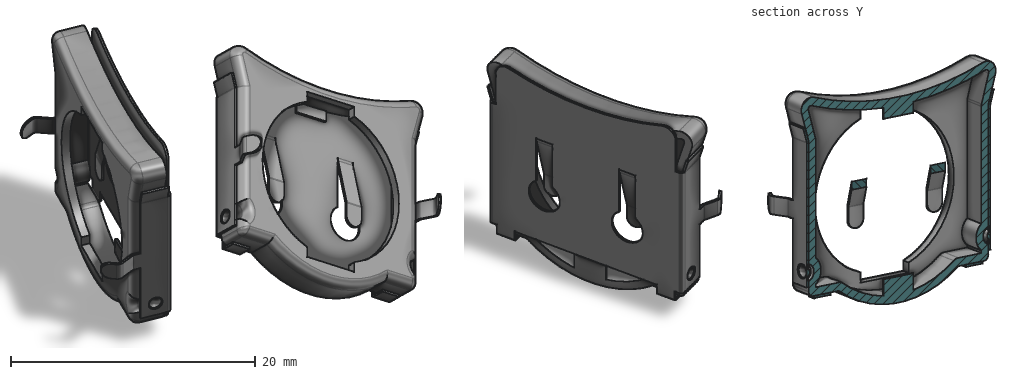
import cadquery as cq
import math

housing_depth = 2.83
wall = 0.75
side_x = 9.1
flare_start_z = 6.23
apex_x, apex_z = 10.35, 10.67
top_dip_z = 8.5
foot_z = -7.07
belly_x, belly_z = 6.03, -9.14
top_corner_radius = 1.0
foot_corner_radius = 0.5
window_radius = 7.0
window_notch_width = 4.85
window_notch_height = 14.91
lip_width = 3.03
lip_height = 13.68
lip_thickness = 0.22

sheet = 0.2
clip_back_y = 3.48
plate_front_y = clip_back_y - sheet
clip_x = side_x + sheet
clip_bottom_z = -6.21
inner_bend = 0.14
back_top_x = 8.62
back_apex_z = 10.87
back_dip_z = 9.34

finger_x = 3.98
finger_width = 1.51
finger_slot_width = 1.6
finger_slot_top_z = 4.26
finger_root_z = 4.12
finger_knee_z = -0.18
finger_tip_z = -2.15
finger_back_y = 2.29
finger_bend = 0.1
finger_root_bend = 1.0
finger_hole_radius = 1.5
finger_hole_z = -1.43

leg_width = 1.55
leg_root_y = 0.1
leg_knee_x, leg_knee_y = 10.03, -1.31
leg_tip_x, leg_tip_y = 9.28, -2.73
leg_bend = 0.4
leg_root_bend = 0.04

ear_tip_z = 7.45
ear_back_y = clip_back_y - sheet - inner_bend

hook_x = 7.69
hook_width = 1.7
hook_end_y = 2.0
hook_bend = 0.04

dimple_y, dimple_z = 2.07, -4.95
dimple_radius = 0.54
dimple_lip = 0.08
dimple_outer_radius = dimple_radius + sheet


def front_plane(y):
    """Plane across the part at the given depth; a negative extrusion runs towards the back, +Y."""
    return cq.Workplane("XZ", origin=(0, y, 0))


def box(x_range, y_range, z_range):
    size = [high - low for low, high in (x_range, y_range, z_range)]
    corner = (x_range[0], y_range[0], z_range[0])
    return cq.Workplane().box(*size, centered=False).translate(corner)


def strip(plane, points, width, bends):
    """Bent sheet strip: points run along its outer face, the sheet lies to the left of that path.

    Each bend is the inner radius at one inner point of the path.
    """
    normals = []
    for (x0, y0), (x1, y1) in zip(points, points[1:]):
        length = math.hypot(x1 - x0, y1 - y0)
        normals.append((-(y1 - y0) / length, (x1 - x0) / length))
    inner = []
    for i, (x, y) in enumerate(points):
        ax, ay = normals[max(i - 1, 0)]
        bx, by = normals[min(i, len(normals) - 1)]
        reach = sheet / (1 + ax * bx + ay * by)
        inner.append((x + reach * (ax + bx), y + reach * (ay + by)))
    body = plane.polyline(points + inner[::-1]).close().extrude(width / 2, both=True)
    for i, bend in enumerate(bends, start=1):
        turn = normals[i - 1][0] * normals[i][1] - normals[i - 1][1] * normals[i][0]
        radii = (bend + sheet, bend) if turn > 0 else (bend, bend + sheet)
        for corner, radius in zip((points[i], inner[i]), radii):
            middle = plane.plane.toWorldCoords(corner)
            body = body.edges(cq.NearestToPointSelector(middle.toTuple())).fillet(radius)
    return body


def housing_block():
    outline = (
        front_plane(0)
        .moveTo(-side_x, foot_z)
        .lineTo(-side_x, flare_start_z)
        .lineTo(-apex_x, apex_z)
        .threePointArc((0, top_dip_z), (apex_x, apex_z))
        .lineTo(side_x, flare_start_z)
        .lineTo(side_x, foot_z)
        .lineTo(belly_x, foot_z)
        .threePointArc((0, belly_z), (-belly_x, foot_z))
        .close()
        .extrude(-housing_depth)
    )
    for side in (-1, 1):
        for x, z, radius in ((apex_x, apex_z, top_corner_radius), (side_x, foot_z, foot_corner_radius)):
            corner = (side * x, housing_depth / 2, z)
            outline = outline.edges(cq.NearestToPointSelector(corner)).fillet(radius)
    dimple_grooves = (
        front_plane(0)
        .pushPoints([(-clip_x, dimple_z), (clip_x, dimple_z)])
        .circle(dimple_outer_radius)
        .extrude(-housing_depth)
    )
    return outline.cut(dimple_grooves)


def make_housing():
    block = housing_block()
    cavity = (
        block.faces(">Y").wires().toPending().workplane(origin=(0, housing_depth, 0))
        .offset2D(-wall)
        .extrude(wall - housing_depth, combine=False)
    )
    window = front_plane(0).circle(window_radius).extrude(-wall)
    window = window.union(front_plane(0).rect(window_notch_width, window_notch_height).extrude(-wall))
    lip_x = lip_width / 2
    lip_y = (housing_depth - lip_thickness, housing_depth)
    for lip_z in ((belly_z, -lip_height / 2), (lip_height / 2, apex_z)):
        cavity = cavity.cut(box((-lip_x, lip_x), lip_y, lip_z))
    return block.faces("<Y").edges().fillet(wall).cut(cavity).cut(window)


def back_and_flanges():
    """Channel of the lower back plate and both side flanges, plus the taller middle of the back plate."""
    height = flare_start_z - clip_bottom_z
    plane = cq.Workplane("XY", origin=(0, 0, clip_bottom_z + height / 2))
    profile = [(clip_x, wall), (clip_x, clip_back_y), (-clip_x, clip_back_y), (-clip_x, wall)]
    channel = strip(plane, profile, height, [inner_bend, inner_bend])
    back_top = (
        front_plane(plate_front_y)
        .moveTo(-back_top_x, 0)
        .lineTo(-back_top_x, back_apex_z)
        .threePointArc((0, back_dip_z), (back_top_x, back_apex_z))
        .lineTo(back_top_x, 0)
        .close()
        .extrude(-sheet)
    )
    for x in (-back_top_x, back_top_x):
        corner = (x, plate_front_y + sheet / 2, back_apex_z)
        back_top = back_top.edges(cq.NearestToPointSelector(corner)).fillet(top_corner_radius)
    return channel.union(back_top)


def finger_opening(x):
    slot = box(
        (x - finger_slot_width / 2, x + finger_slot_width / 2),
        (plate_front_y, clip_back_y),
        (finger_hole_z, finger_slot_top_z),
    )
    hole = front_plane(plate_front_y).center(x, finger_hole_z).circle(finger_hole_radius).extrude(-sheet)
    return slot.union(hole)


def finger(x):
    """Contact spring that slopes forward from the back plate and ends in a straight round tip."""
    plane = cq.Workplane("YZ", origin=(x, 0, 0))
    path = [
        (clip_back_y, finger_slot_top_z + sheet),
        (clip_back_y, finger_root_z),
        (finger_back_y, finger_knee_z),
        (finger_back_y, finger_tip_z),
    ]
    spring = strip(plane, path[::-1], finger_width, [finger_bend, finger_root_bend])
    radius = finger_width / 2
    tip_center = finger_tip_z + radius
    front = front_plane(0).center(x, tip_center).circle(radius).extrude(-clip_back_y)
    above = box((x - radius, x + radius), (0, clip_back_y), (tip_center, flare_start_z))
    return spring.intersect(front.union(above))


def leg():
    """Snap leg on the -X flange, bent outwards and back in, with a round tip."""
    path = [(-clip_x, wall + sheet), (-clip_x, leg_root_y), (-leg_knee_x, leg_knee_y), (-leg_tip_x, leg_tip_y)]
    body = strip(cq.Workplane("XY"), path, leg_width, [leg_root_bend, leg_bend])
    radius = leg_width / 2
    tip_center = leg_tip_y + radius
    tip = cq.Workplane("YZ").center(tip_center, 0).circle(radius).extrude(-leg_knee_x)
    behind = box((-leg_knee_x, 0), (tip_center, clip_back_y), (-radius, radius))
    return body.intersect(tip.union(behind))


def ear():
    """Flared top end of the -X flange, parallel to the leaning housing side."""
    lean = math.atan2(apex_x - side_x, apex_z - flare_start_z)
    bend_z = flare_start_z - sheet * math.tan(lean / 2)
    tip_x = clip_x + (ear_tip_z - bend_z) * math.tan(lean)
    path = [(-clip_x, bend_z - sheet), (-clip_x, bend_z), (-tip_x, ear_tip_z)]
    plane = front_plane((wall + ear_back_y) / 2)
    return strip(plane, path[::-1], ear_back_y - wall, [inner_bend])


def hook():
    """Tab below the back plate, folded forward under the flat foot of the housing."""
    bottom = foot_z - sheet
    path = [(clip_back_y, clip_bottom_z + sheet), (clip_back_y, bottom), (hook_end_y, bottom)]
    return strip(cq.Workplane("YZ", origin=(-hook_x, 0, 0)), path[::-1], hook_width, [hook_bend])


def dimple_shape(radius, mouth_radius):
    """Half ball standing inwards from the outer face of the -X flange, with a conical mouth."""
    mouth_depth = mouth_radius - radius
    middle = math.sqrt(0.5) * radius
    profile = cq.Workplane("XY", origin=(-clip_x, dimple_y, dimple_z)).lineTo(0, mouth_radius)
    if mouth_depth > 0:
        rim_height = math.sqrt(radius**2 - mouth_depth**2)
        profile = profile.lineTo(mouth_depth, rim_height)
    return profile.threePointArc((middle, middle), (radius, 0)).close().revolve(360, (0, 0), (1, 0))


def make_clip():
    clip = back_and_flanges()
    for x in (-finger_x, finger_x):
        clip = clip.cut(finger_opening(x)).union(finger(x))
    bump = dimple_shape(dimple_outer_radius, dimple_outer_radius)
    for part in (leg(), ear(), hook(), bump):
        clip = clip.union(part).union(part.mirror("YZ"))
    hollow = dimple_shape(dimple_radius, dimple_radius + dimple_lip)
    return clip.cut(hollow).cut(hollow.mirror("YZ"))


housing = make_housing()
clip = make_clip()
result = cq.Compound.makeCompound([housing.val(), clip.val()])